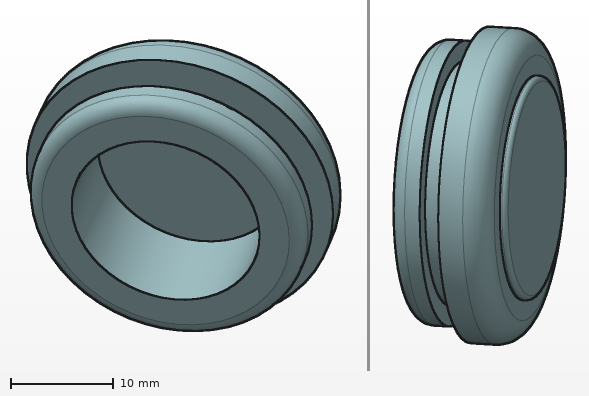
import cadquery as cq

rim_diameter = 31.0
lip_diameter = 28.0
neck_diameter = 24.0
bore_diameter = 19.0
pad_diameter = 22.0

lip_length = 3.0
neck_length = 2.3
rim_length = 5.0
pad_length = 0.7
bore_depth = 9.8

lip_fillet = 1.5
rim_fillet = 2.5
pad_fillet = 0.5


def disc(diameter, front, length):
    """Cylinder about the Y axis, reaching from front towards +Y."""
    plane = cq.Workplane("XZ", origin=(0, front, 0))
    return plane.circle(diameter / 2).extrude(-length)


neck_front = lip_length
rim_front = neck_front + neck_length
pad_front = rim_front + rim_length

lip = disc(lip_diameter, 0, lip_length).faces("<Y").edges().fillet(lip_fillet)
neck = disc(neck_diameter, neck_front, neck_length)
rim = disc(rim_diameter, rim_front, rim_length).faces(">Y").edges().fillet(rim_fillet)
pad = disc(pad_diameter, pad_front, pad_length).faces(">Y").edges().fillet(pad_fillet)

bore = disc(bore_diameter, 0, bore_depth)

result = lip.union(neck).union(rim).union(pad).cut(bore)